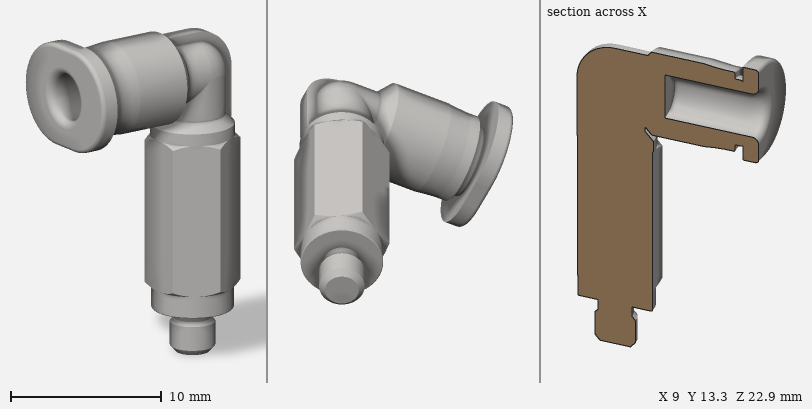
import cadquery as cq
import math


thread_radius = 1.5
tip_radius = 1.12
neck_radius = 1.25
tip_chamfer_top = 0.41
thread_top = 2.05
neck_bottom = 2.34
flange_bottom = 3.02
flange_radius = 2.75
flange_chamfer = 0.07
hex_bottom = 4.53
hex_top = 15.02
hex_across_flats = 5.52
hex_chamfer_height = 0.3

collar_radius = 2.82
collar_top = 15.85
pipe_radius = 2.2
pipe_bottom = collar_top + (collar_radius - pipe_radius)
port_height = 19.4
rib_width = 1.05

cone_start = 1.8
cone_end = 2.68
body_radius = 3.14
taper_start = 6.5
taper_end = 8.0
body_end_radius = 3.0
body_end = 8.82
body_end_chamfer = 0.1
sleeve_radius = 2.5
sleeve_taper_start = 9.23
sleeve_end_radius = 2.43

button_back = 9.37
button_front = 10.53
button_height = 7.0
button_width = 9.0
button_rounding = 0.27
bore_radius = 1.6
bore_lip_rounding = 0.5
bore_depth = 6.87

hex_corner_radius = hex_across_flats / math.sqrt(3)


def revolve_about_z(points):
    """Solid of revolution about Z from (radius, height) points."""
    return cq.Workplane("XZ").polyline(points).close().revolve(360, (0, 0), (0, 1))


def make_stem():
    return revolve_about_z([
        (0, 0),
        (tip_radius, 0),
        (thread_radius, tip_chamfer_top),
        (thread_radius, thread_top),
        (neck_radius, neck_bottom),
        (neck_radius, flange_bottom),
        (flange_radius - flange_chamfer, flange_bottom),
        (flange_radius, flange_bottom + flange_chamfer),
        (flange_radius, hex_bottom),
        (0, hex_bottom),
    ])


def make_hex():
    """Hexagon with corners on X, its ends turned down to cones."""
    prism = (
        cq.Workplane("XY", origin=(0, 0, hex_bottom))
        .polygon(6, 2 * hex_corner_radius)
        .extrude(hex_top - hex_bottom)
    )
    end_radius = hex_across_flats / 2
    turned_envelope = revolve_about_z([
        (0, hex_bottom),
        (end_radius, hex_bottom),
        (hex_corner_radius, hex_bottom + hex_chamfer_height),
        (hex_corner_radius, hex_top - hex_chamfer_height),
        (end_radius, hex_top),
        (0, hex_top),
    ])
    return prism.intersect(turned_envelope)


def make_elbow():
    riser = revolve_about_z([
        (0, hex_top),
        (collar_radius, hex_top),
        (collar_radius, collar_top),
        (pipe_radius, pipe_bottom),
        (pipe_radius, port_height),
        (0, port_height),
    ])
    knuckle = cq.Workplane("XY", origin=(0, 0, port_height)).sphere(pipe_radius)
    return riser.union(knuckle)


def make_rib():
    """Flat rib around the outside of the bend, flush with the collar."""
    bend_offset = collar_radius * math.sqrt(0.5)
    return (
        cq.Workplane("YZ", origin=(-rib_width / 2, 0, 0))
        .moveTo(0, collar_top)
        .lineTo(collar_radius, collar_top)
        .lineTo(collar_radius, port_height)
        .threePointArc((bend_offset, port_height + bend_offset), (0, port_height + collar_radius))
        .lineTo(-cone_end, port_height + collar_radius)
        .lineTo(-cone_end, port_height)
        .lineTo(0, port_height)
        .close()
        .extrude(rib_width)
    )


def make_port():
    return (
        cq.Workplane("XY", origin=(0, 0, port_height))
        .polyline([
            (0, 0),
            (pipe_radius, 0),
            (pipe_radius, -cone_start),
            (body_radius, -cone_end),
            (body_radius, -taper_start),
            (body_end_radius, -taper_end),
            (body_end_radius, -body_end + body_end_chamfer),
            (body_end_radius - body_end_chamfer, -body_end),
            (sleeve_radius, -body_end),
            (sleeve_radius, -sleeve_taper_start),
            (sleeve_end_radius, -button_back),
            (0, -button_back),
        ])
        .close()
        .revolve(360, (0, 0), (0, 1))
    )


def make_button():
    return (
        cq.Workplane("XZ", origin=(0, -button_back, port_height))
        .slot2D(button_width, button_height)
        .extrude(button_front - button_back)
        .faces("<Y")
        .edges()
        .fillet(button_rounding)
    )


def make_bore():
    """Blind bore flaring out to a rounded lip at the button face."""
    lip_radius = bore_radius + bore_lip_rounding
    lip_depth = -button_front + bore_lip_rounding
    arc_offset = bore_lip_rounding * math.sqrt(0.5)
    return (
        cq.Workplane("XY", origin=(0, 0, port_height))
        .moveTo(0, -button_front)
        .lineTo(lip_radius, -button_front)
        .threePointArc((lip_radius - arc_offset, lip_depth - arc_offset), (bore_radius, lip_depth))
        .lineTo(bore_radius, -button_front + bore_depth)
        .lineTo(0, -button_front + bore_depth)
        .close()
        .revolve(360, (0, 0), (0, 1))
    )


result = (
    make_stem()
    .union(make_hex())
    .union(make_elbow())
    .union(make_rib())
    .union(make_port())
    .union(make_button())
    .cut(make_bore())
)